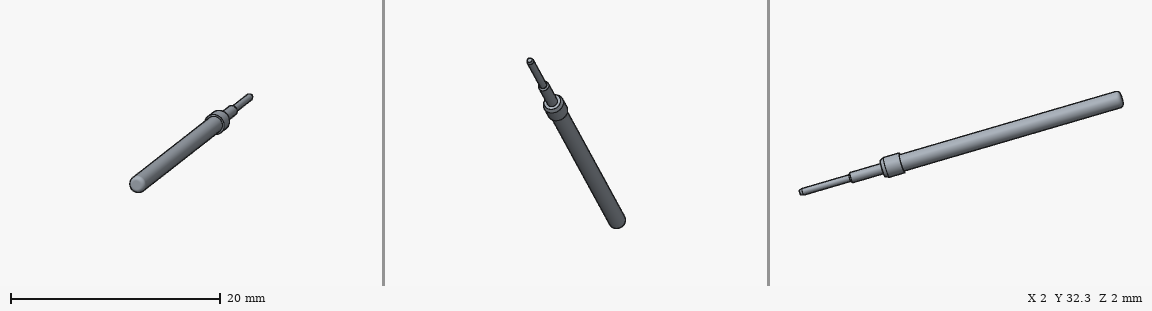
import cadquery as cq

overall_length = 32.3
collar_diameter = 2.0
barrel_diameter = 1.65
neck_diameter = 1.03
pin_diameter = 0.68

pin_length = 5.0
neck_length = 3.3
collar_length = 1.95
barrel_length = overall_length - pin_length - neck_length - collar_length

barrel_end_round = 0.4
collar_bevel_length = 0.4
collar_bevel_depth = (collar_diameter - barrel_diameter) / 2
neck_chamfer = 0.15
pin_bevel_length = 0.3
pin_bevel_depth = 0.1


def cylinder(start_y, length, diameter):
    """Solid cylinder on the Y axis, running toward +Y from start_y."""
    base = cq.Workplane("XZ", origin=(0, start_y, 0))
    return base.circle(diameter / 2).extrude(-length)


def bevel_front(body, front, diameter, length, depth):
    """Cone off the +Y end of a cylinder by a length along Y and a radial depth."""
    radius = diameter / 2
    waste = (
        cq.Workplane("XY")
        .moveTo(radius, front - length)
        .lineTo(radius, front)
        .lineTo(radius - depth, front)
        .close()
        .revolve(360, (0, 0, 0), (0, 1, 0))
    )
    return body.cut(waste)


collar_start = barrel_length
neck_start = collar_start + collar_length
pin_start = neck_start + neck_length

barrel = cylinder(0, barrel_length, barrel_diameter)
barrel = barrel.faces("<Y").edges().fillet(barrel_end_round)

collar = cylinder(collar_start, collar_length, collar_diameter)
collar = bevel_front(collar, neck_start, collar_diameter, collar_bevel_length, collar_bevel_depth)

neck = cylinder(neck_start, neck_length, neck_diameter)
neck = bevel_front(neck, pin_start, neck_diameter, neck_chamfer, neck_chamfer)

pin = cylinder(pin_start, pin_length, pin_diameter)
pin = bevel_front(pin, overall_length, pin_diameter, pin_bevel_length, pin_bevel_depth)

result = barrel.union(collar).union(neck).union(pin)